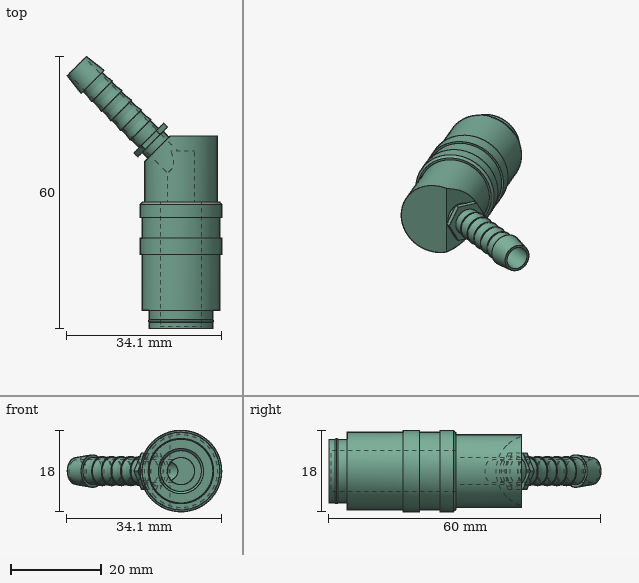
import cadquery as cq
import math

overall_length = 60.0
spigot_radius, spigot_end = 7.0, 4.0
body_radius = 8.6
upper_radius, body_top = 8.05, 42.5
band_radius = 9.0
lower_band_start, lower_band_end = 16.4, 20.0
upper_band_start, upper_band_end = 24.5, 27.95
band_chamfer = 0.55
lip_radius = 7.2
lip_start, lip_end = 1.3, 2.05

mouth_radius, mouth_end = 4.5, upper_band_end
mouth_chamfer = 0.5
passage_radius, passage_end = 3.0, 39.2

tail_angle = 45.0
tail_reach = 25.1
tail_bore_radius = 2.5
tip_radius = 3.0
nose_radius, nose_length = 3.6, 4.9
hose_radius = 3.0
barb_radius = 3.25
barb_count = 5
first_barb, barb_pitch = 6.35, 3.0
barb_length = barb_pitch / 2
flange_start, flange_thickness = 22.45, 1.2
flange_across_flats = 8.05
neck_radius = 3.3

slope_inner_x = -2.4

angle = math.radians(tail_angle)
tip_x = -tail_reach + tip_radius * math.sin(angle)
tip_y = overall_length - tip_radius * math.cos(angle)
tail_length = -tip_x / math.cos(angle)


def cylinder(radius, start, end):
    """Cylinder about the Y axis between two Y positions."""
    plane = cq.Workplane("XZ", origin=(0, start, 0))
    return plane.circle(radius).extrude(start - end)


def make_body():
    body = cylinder(spigot_radius, 0, spigot_end)
    body = body.union(cylinder(body_radius, spigot_end, upper_band_start))
    body = body.union(cylinder(upper_radius, upper_band_start, body_top))
    body = body.union(cylinder(band_radius, lower_band_start, lower_band_end))
    upper_band = cylinder(band_radius, upper_band_start, upper_band_end)
    body = body.union(upper_band.faces(">Y").chamfer(band_chamfer))

    lip_crest = (lip_start + lip_end) / 2
    lip = (
        cq.Workplane("XY")
        .moveTo(0, lip_start)
        .lineTo(spigot_radius, lip_start)
        .lineTo(lip_radius, lip_crest)
        .lineTo(spigot_radius, lip_end)
        .lineTo(0, lip_end)
        .close()
        .revolve(360, (0, 0, 0), (0, 1, 0))
    )
    return body.union(lip)


def make_slope_cut():
    side_drop = (upper_radius + slope_inner_x) / math.tan(angle)
    corner = [
        (slope_inner_x, body_top),
        (-upper_radius, body_top - side_drop),
        (-upper_radius, body_top),
    ]
    return cq.Workplane("XY").polyline(corner).close().extrude(upper_radius, both=True)


def place_tail(shape):
    """Move a shape built along +Y from the origin onto the tail axis."""
    turn = tail_angle - 180
    return shape.rotate((0, 0, 0), (0, 0, 1), turn).translate((tip_x, tip_y, 0))


def make_tail():
    profile = cq.Workplane("XY").lineTo(tip_radius, 0)
    profile = profile.lineTo(nose_radius, nose_length).lineTo(hose_radius, nose_length)
    for index in range(barb_count):
        start = first_barb + index * barb_pitch
        end = start + barb_length
        profile = profile.lineTo(hose_radius, start)
        profile = profile.lineTo(barb_radius, end).lineTo(hose_radius, end)
    profile = profile.lineTo(hose_radius, flange_start).lineTo(neck_radius, flange_start)
    profile = profile.lineTo(neck_radius, tail_length).lineTo(0, tail_length).close()
    tail = profile.revolve(360, (0, 0, 0), (0, 1, 0))

    across_corners = flange_across_flats / math.cos(math.pi / 6)
    flange = (
        cq.Workplane("XZ", origin=(0, flange_start, 0))
        .polygon(6, across_corners)
        .extrude(-flange_thickness)
    )
    return place_tail(tail.union(flange))


def make_bore():
    mouth = cylinder(mouth_radius, 0, mouth_end)
    countersink = cq.Workplane(
        cq.Solid.makeCone(
            mouth_radius + mouth_chamfer, mouth_radius, mouth_chamfer,
            pnt=cq.Vector(0, 0, 0), dir=cq.Vector(0, 1, 0),
        )
    )
    passage = cylinder(passage_radius, 0, passage_end)
    tail_bore = place_tail(cylinder(tail_bore_radius, 0, tail_length))
    return mouth.union(countersink).union(passage).union(tail_bore)


result = make_body().cut(make_slope_cut()).union(make_tail()).cut(make_bore())